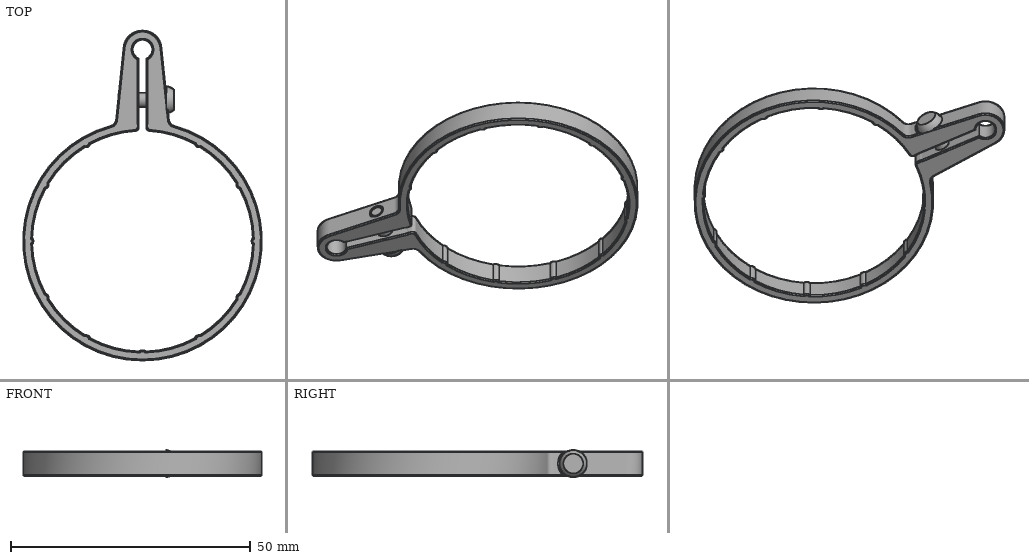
import cadquery as cq
import math

ring_radius = 24.95
bore_radius = 23.0
clamp_height = 5.25
edge_chamfer = 0.3

rib_radius = 0.95
rib_rise = 0.3
rib_pitch = 30
slot_angle = 90

total_length = 68.95
tip_radius = 4.0
tip_y = total_length - ring_radius - tip_radius
taper_angle = 5.9
lever_start_y = bore_radius / 2
root_fillet = 1.5

slot_width = 1.65
slot_mouth_width = 1.5
slot_mouth_length = 1.4
slot_mouth_taper = 0.35
slot_corner_fillet = 0.8
keyhole_diameter = 4.1

screw_y = 29.5
screw_diameter = 3.0
screw_length = 10.0
tip_chamfer = 0.35
clearance_diameter = 3.4
head_diameter = 5.7
head_end_diameter = 4.15
head_height = 1.65
head_seat_x = 4.95
head_recess_diameter = 6.4


def upright_cylinder(radius, x=0, y=0):
    """Cylinder along Z, as tall as the clamp."""
    return cq.Workplane("XY").center(x, y).circle(radius).extrude(clamp_height / 2, both=True)


def screw_axis_cylinder(diameter, x_start, x_end):
    """Cylinder on the screw axis, from x_start to x_end."""
    plane = cq.Workplane("YZ", origin=(x_start, screw_y, 0))
    return plane.circle(diameter / 2).extrude(x_end - x_start)


def fillet_upright_edges(body, half_width, y_low, y_high, radius):
    """Round the edges along Z that lie within half_width of the YZ plane, from y_low to y_high."""
    box = cq.selectors.BoxSelector(
        (-half_width, y_low, -clamp_height),
        (half_width, y_high, clamp_height),
    )
    return body.edges("|Z").edges(box).fillet(radius)


def make_lever():
    """Solid lever with straight flanks tangent to its round tip."""
    taper = math.radians(taper_angle)
    tangent_x = tip_radius * math.cos(taper)
    tangent_y = tip_y + tip_radius * math.sin(taper)
    start_x = tangent_x + (tangent_y - lever_start_y) * math.tan(taper)
    return (
        cq.Workplane("XY")
        .moveTo(-start_x, lever_start_y)
        .lineTo(-tangent_x, tangent_y)
        .threePointArc((0, tip_y + tip_radius), (tangent_x, tangent_y))
        .lineTo(start_x, lever_start_y)
        .close()
        .extrude(clamp_height / 2, both=True)
    )


def make_slot():
    """Slot from the ring centre to the keyhole, slightly narrower at its mouth."""
    mouth_end_y = bore_radius + slot_mouth_length
    right_side = [
        (slot_mouth_width / 2, 0),
        (slot_mouth_width / 2, mouth_end_y),
        (slot_width / 2, mouth_end_y + slot_mouth_taper),
        (slot_width / 2, tip_y),
    ]
    left_side = [(-x, y) for x, y in reversed(right_side)]
    outline = cq.Workplane("XY").polyline(right_side + left_side).close()
    return outline.extrude(clamp_height / 2, both=True)


def make_rib(angle):
    """Round rib standing rib_rise out of the bore, chamfered at both ends like the clamp."""
    center_radius = bore_radius - rib_rise + rib_radius
    direction = math.radians(angle)
    rib = upright_cylinder(
        rib_radius,
        center_radius * math.cos(direction),
        center_radius * math.sin(direction),
    )
    return rib.faces("<Z or >Z").chamfer(edge_chamfer)


def make_clamp():
    body = upright_cylinder(ring_radius).union(make_lever())
    body = fillet_upright_edges(body, ring_radius, lever_start_y, ring_radius, root_fillet)
    body = body.cut(upright_cylinder(bore_radius))

    body = body.cut(make_slot())
    mouth_middle_y = bore_radius + slot_mouth_length / 2
    body = fillet_upright_edges(body, slot_width, lever_start_y, mouth_middle_y, slot_corner_fillet)
    body = body.cut(upright_cylinder(keyhole_diameter / 2, 0, tip_y))

    body = body.faces("<Z or >Z").edges().chamfer(edge_chamfer)

    for angle in range(slot_angle + rib_pitch, slot_angle + 360, rib_pitch):
        body = body.union(make_rib(angle))

    body = body.cut(screw_axis_cylinder(screw_diameter, -ring_radius, 0))
    body = body.cut(screw_axis_cylinder(clearance_diameter, 0, ring_radius))
    return body.cut(screw_axis_cylinder(head_recess_diameter, head_seat_x, ring_radius))


def make_screw_head():
    """Spherical dome from the head rim to a flat end face."""
    rim_radius = head_diameter / 2
    end_radius = head_end_diameter / 2
    center_depth = (rim_radius**2 - end_radius**2 - head_height**2) / (2 * head_height)
    sphere_radius = math.hypot(rim_radius, center_depth)
    middle_x = head_height / 2
    middle_radius = math.sqrt(sphere_radius**2 - (middle_x + center_depth) ** 2)
    return (
        cq.Workplane("XY", origin=(head_seat_x, screw_y, 0))
        .lineTo(0, rim_radius)
        .threePointArc((middle_x, middle_radius), (head_height, end_radius))
        .lineTo(head_height, 0)
        .close()
        .revolve(360, (0, 0, 0), (1, 0, 0))
    )


def make_screw():
    shank = screw_axis_cylinder(screw_diameter, head_seat_x - screw_length, head_seat_x)
    shank = shank.faces("<X").chamfer(tip_chamfer)
    return shank.union(make_screw_head())


clamp = make_clamp()
screw = make_screw()
result = cq.Compound.makeCompound([clamp.val(), screw.val()])